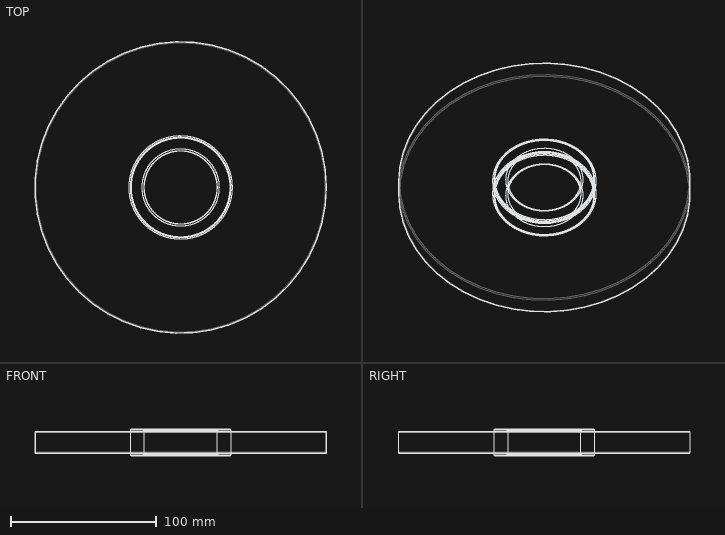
import cadquery as cq
wheel_diameter = 200.0
wheel_width = 15.0
rim_fillet = 0.8

hub_diameter = 69.0
hub_width = 18.5
hub_edge_chamfer = 0.6
hub_bore_diameter = 50.01
hub_bore_chamfer = 1.5

groove_diameter = 71.0
groove_depth = 0.25


def tube(outer_diameter, inner_diameter, width):
    """Tube about Z, centred on the XY plane."""
    return (
        cq.Workplane("XY", origin=(0, 0, -width / 2))
        .circle(outer_diameter / 2)
        .circle(inner_diameter / 2)
        .extrude(width)
    )


def make_wheel():
    outer_edges = cq.selectors.RadiusNthSelector(-1)
    wheel = tube(wheel_diameter, hub_diameter, wheel_width)
    wheel = wheel.edges(outer_edges).fillet(rim_fillet)
    groove = tube(groove_diameter, hub_diameter, groove_depth)
    groove_height = (wheel_width - groove_depth) / 2
    for side in (1, -1):
        wheel = wheel.cut(groove.translate((0, 0, side * groove_height)))
    return wheel


def make_hub():
    outer_edges = cq.selectors.RadiusNthSelector(-1)
    bore_edges = cq.selectors.RadiusNthSelector(0)
    hub = tube(hub_diameter, hub_bore_diameter, hub_width)
    hub = hub.edges(outer_edges).chamfer(hub_edge_chamfer)
    return hub.edges(bore_edges).chamfer(hub_bore_chamfer)


wheel = make_wheel()
hub = make_hub()

result = cq.Compound.makeCompound([wheel.val(), hub.val()])